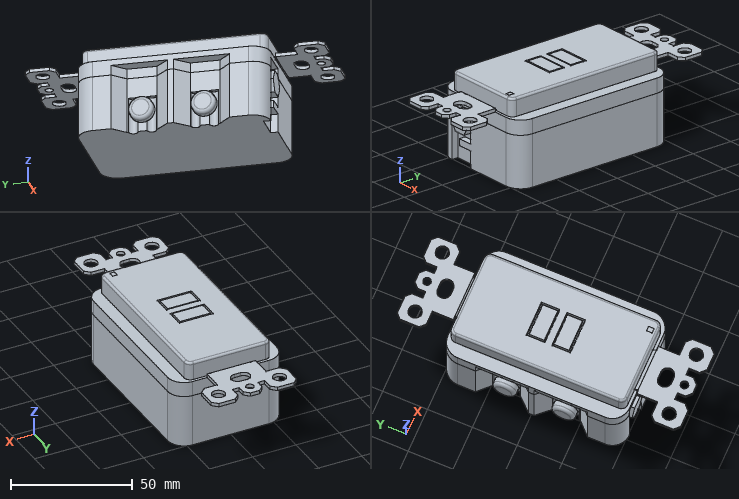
import cadquery as cq

BODY_WIDTH = 50.52
BODY_LENGTH = 81.1
CORNER_RADIUS = 7.65
SPLIT_HEIGHT = 24.0
SHOULDER_HEIGHT = 30.8
TOTAL_HEIGHT = 39.1

FACE_WIDTH = 38.9
FACE_LENGTH = 78.5
FACE_CORNER_RADIUS = 2.8
FACE_EDGE_ROUNDING = 1.0

POCKET_TOP = 28.3
POCKET_DEPTH = 5.4
POCKET_NEAR_Y = 1.24
POCKET_FAR_Y = 25.0
FLOOR_NEAR_Y = 7.1
FLOOR_FAR_Y = 19.6
SCREW_Y = 13.15
SCREW_Z = 9.1
SCREW_RADIUS = 5.25
SCREW_ROUNDING = 1.6
SCREW_HEAD_THICKNESS = 3.8
WIRE_GROOVE_RADIUS = 1.95
WIRE_GROOVE_OFFSET = 3.9
WIRE_GROOVE_TOP = 15.2

GROUND_POCKET_LEFT = BODY_WIDTH / 2 - CORNER_RADIUS
GROUND_POCKET_RIGHT = 5.5
GROUND_POCKET_TOP = 28.2
GROUND_POCKET_DEPTH = 3.1
TAB_LENGTH = 7.3
TAB_BOTTOM = 8.0
TAB_TOP = 11.05
HEX_X = -11.55
HEX_Z = 18.9
HEX_ACROSS_CORNERS = 11.1
HEX_PROTRUSION = 0.85

STRAP_LENGTH = 126.61
STRAP_THICKNESS = 1.6
STRAP_BOTTOM = 31.2
EAR_OUTER_X = 19.7
EAR_INNER_X = 7.4
EAR_BOTTOM_Y = 50.25
EAR_CHAMFER = 2.3
NOTCH_Y = 56.3
CENTRE_TAB_HALF_WIDTH = 4.4
CENTRE_TAB_END_Y = 62.05
NECK_HALF_WIDTH = 11.25
NECK_END_Y = 40.9
BEND_WIDTH = 18.8
BEND_RUN = NECK_END_Y - FACE_LENGTH / 2
EAR_HOLE_X = 14.1
EAR_HOLE_Y = 56.7
EAR_HOLE_DIAMETER = 5.7
TAB_HOLE_Y = 57.45
TAB_HOLE_DIAMETER = 3.4
SLOT_Y = 49.25
SLOT_LENGTH = 8.6
SLOT_WIDTH = 5.8

BUTTON_WINDOW_WIDTH = 15.7
BUTTON_WINDOW_NEAR_Y = 1.65
BUTTON_WINDOW_FAR_Y = 9.8
BUTTON_WIDTH = 14.1
BUTTON_NEAR_Y = 2.1
BUTTON_FAR_Y = 8.95
INDICATOR_X = 14.45
INDICATOR_Y = -36.0
INDICATOR_WIDTH = 2.1
INDICATOR_LENGTH = 2.5
INSERT_DEPTH = 2.0

SIDE_X = -BODY_WIDTH / 2
END_Y = -BODY_LENGTH / 2
FLOOR_X = SIDE_X + POCKET_DEPTH
GROUND_FLOOR_Y = END_Y + GROUND_POCKET_DEPTH
STRAP_TOP = STRAP_BOTTOM + STRAP_THICKNESS


def box(x_range, y_range, z_range):
    """Box between the given pairs of limits."""
    sizes = [high - low for low, high in (x_range, y_range, z_range)]
    corner = (x_range[0], y_range[0], z_range[0])
    return cq.Workplane("XY").box(*sizes, centered=False).translate(corner)


def rounded_block(bottom, top):
    """Slice of the housing outline between two heights."""
    block = cq.Workplane("XY").workplane(offset=bottom).rect(BODY_WIDTH, BODY_LENGTH)
    return block.extrude(top - bottom).edges("|Z").fillet(CORNER_RADIUS)


def terminal_pocket(side):
    """Flared pocket open at the bottom, with two wire grooves in its floor."""
    mouth_and_floor = [
        (SIDE_X, side * POCKET_NEAR_Y),
        (FLOOR_X, side * FLOOR_NEAR_Y),
        (FLOOR_X, side * FLOOR_FAR_Y),
        (SIDE_X, side * POCKET_FAR_Y),
    ]
    pocket = cq.Workplane("XY").polyline(mouth_and_floor).close().extrude(POCKET_TOP)
    groove_centres = [
        (FLOOR_X, side * SCREW_Y - WIRE_GROOVE_OFFSET),
        (FLOOR_X, side * SCREW_Y + WIRE_GROOVE_OFFSET),
    ]
    grooves = cq.Workplane("XY").pushPoints(groove_centres).circle(WIRE_GROOVE_RADIUS)
    return pocket.union(grooves.extrude(WIRE_GROOVE_TOP))


def ground_pocket():
    """Recess in the -Y end that leaves a tab standing from its right wall."""
    depth_range = (END_Y, GROUND_FLOOR_Y)
    recess = box((-GROUND_POCKET_LEFT, -GROUND_POCKET_RIGHT), depth_range, (0, GROUND_POCKET_TOP))
    tab_range = (-GROUND_POCKET_RIGHT - TAB_LENGTH, -GROUND_POCKET_RIGHT)
    return recess.cut(box(tab_range, depth_range, (TAB_BOTTOM, TAB_TOP)))


def cut_side_pockets(body):
    """Cut both terminal pockets and the ground pocket out of a housing body."""
    for side in (1, -1):
        body = body.cut(terminal_pocket(side))
    return body.cut(ground_pocket())


def strap_end():
    """Flat +Y end of the strap: neck, two ears and a centre tab."""
    end_y = STRAP_LENGTH / 2
    half_outline = [
        (NECK_HALF_WIDTH, NECK_END_Y),
        (NECK_HALF_WIDTH, EAR_BOTTOM_Y),
        (EAR_OUTER_X - EAR_CHAMFER, EAR_BOTTOM_Y),
        (EAR_OUTER_X, EAR_BOTTOM_Y + EAR_CHAMFER),
        (EAR_OUTER_X, end_y - EAR_CHAMFER),
        (EAR_OUTER_X - EAR_CHAMFER, end_y),
        (EAR_INNER_X + EAR_CHAMFER, end_y),
        (EAR_INNER_X, end_y - EAR_CHAMFER),
        (EAR_INNER_X, NOTCH_Y),
        (CENTRE_TAB_HALF_WIDTH, NOTCH_Y),
        (CENTRE_TAB_HALF_WIDTH, CENTRE_TAB_END_Y - EAR_CHAMFER),
        (CENTRE_TAB_HALF_WIDTH - EAR_CHAMFER, CENTRE_TAB_END_Y),
    ]
    other_half = [(-x, y) for x, y in reversed(half_outline)]
    plane = cq.Workplane("XY").workplane(offset=STRAP_BOTTOM)
    plate = plane.polyline(half_outline + other_half).close().extrude(STRAP_THICKNESS)
    ear_holes = plane.pushPoints([(EAR_HOLE_X, EAR_HOLE_Y), (-EAR_HOLE_X, EAR_HOLE_Y)])
    tab_hole = plane.center(0, TAB_HOLE_Y)
    slot = plane.center(0, SLOT_Y)
    plate = plate.cut(ear_holes.circle(EAR_HOLE_DIAMETER / 2).extrude(STRAP_THICKNESS))
    plate = plate.cut(tab_hole.circle(TAB_HOLE_DIAMETER / 2).extrude(STRAP_THICKNESS))
    return plate.cut(slot.slot2D(SLOT_LENGTH, SLOT_WIDTH).extrude(STRAP_THICKNESS))


def strap_middle():
    """Lowered plate through the cover, bent up at 45 degrees at both ends."""
    inner_y = NECK_END_Y - BEND_RUN
    half_profile = [
        (inner_y, STRAP_TOP - BEND_RUN),
        (NECK_END_Y, STRAP_TOP),
        (NECK_END_Y, STRAP_BOTTOM),
        (inner_y, STRAP_BOTTOM - BEND_RUN),
    ]
    other_half = [(-y, z) for y, z in reversed(half_profile)]
    profile = cq.Workplane("YZ").polyline(half_profile + other_half).close()
    return profile.extrude(BEND_WIDTH / 2, both=True)


def build_strap():
    end = strap_end()
    return strap_middle().union(end).union(end.mirror("XZ"))


def face_insert(width, near_y, far_y, side):
    """Block let into the face, flush with its top."""
    y_range = sorted((side * near_y, side * far_y))
    return box((-width / 2, width / 2), y_range, (TOTAL_HEIGHT - INSERT_DEPTH, TOTAL_HEIGHT))


def build_button(side):
    return face_insert(BUTTON_WIDTH, BUTTON_NEAR_Y, BUTTON_FAR_Y, side)


def build_indicator():
    indicator = cq.Workplane("XY").box(INDICATOR_WIDTH, INDICATOR_LENGTH, INSERT_DEPTH)
    return indicator.translate((INDICATOR_X, INDICATOR_Y, TOTAL_HEIGHT - INSERT_DEPTH / 2))


def build_terminal_screw(side):
    """Round head seated on the pocket floor, its outer rim rounded."""
    seat = cq.Workplane("YZ", origin=(FLOOR_X, side * SCREW_Y, SCREW_Z))
    head = seat.circle(SCREW_RADIUS).extrude(-SCREW_HEAD_THICKNESS)
    return head.faces("<X").edges().fillet(SCREW_ROUNDING)


def build_ground_screw():
    """Hexagonal head seated on the ground pocket floor."""
    seat = cq.Workplane("XZ", origin=(HEX_X, GROUND_FLOOR_Y, HEX_Z))
    return seat.polygon(6, HEX_ACROSS_CORNERS).extrude(GROUND_POCKET_DEPTH + HEX_PROTRUSION)


def build_base():
    return cut_side_pockets(rounded_block(0, SPLIT_HEIGHT))


def build_face():
    """Raised face with rounded corners and a rounded top rim."""
    face = cq.Workplane("XY").workplane(offset=SHOULDER_HEIGHT).rect(FACE_WIDTH, FACE_LENGTH)
    face = face.extrude(TOTAL_HEIGHT - SHOULDER_HEIGHT).edges("|Z").fillet(FACE_CORNER_RADIUS)
    return face.faces(">Z").edges().fillet(FACE_EDGE_ROUNDING)


def build_cover(strap, indicator):
    """Upper housing with button windows and seats for the indicator and the strap."""
    cover = cut_side_pockets(rounded_block(SPLIT_HEIGHT, SHOULDER_HEIGHT)).union(build_face())
    window = (BUTTON_WINDOW_WIDTH, BUTTON_WINDOW_NEAR_Y, BUTTON_WINDOW_FAR_Y)
    for side in (1, -1):
        cover = cover.cut(face_insert(*window, side))
    return cover.cut(indicator).cut(strap)


strap = build_strap()
indicator = build_indicator()
base = build_base()
cover = build_cover(strap, indicator)
ground_screw = build_ground_screw()
parts = [base, cover, strap, ground_screw, indicator]
for side in (1, -1):
    parts.append(build_terminal_screw(side))
    parts.append(build_button(side))

result = cq.Compound.makeCompound([part.solids().val() for part in parts])